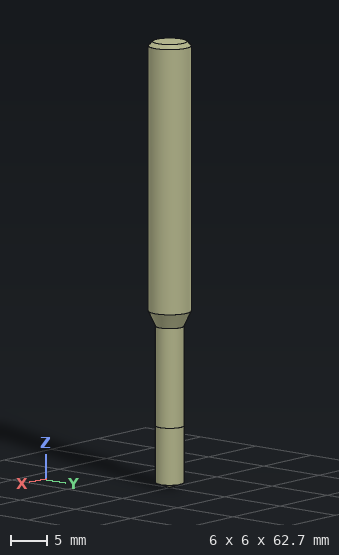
import cadquery as cq
import math

shank_diameter = 6.0
drill_diameter = 4.0
point_angle = 140.0
cutting_length = 8.0
neck_end = 22.0
taper_angle = 25.0
overall_length = 62.0
shank_chamfer = 0.6

shank_radius = shank_diameter / 2
drill_radius = drill_diameter / 2
point_height = drill_radius / math.tan(math.radians(point_angle / 2))
taper_height = (shank_radius - drill_radius) / math.tan(math.radians(taper_angle))
taper_end = neck_end + taper_height


def revolve_about_z(profile):
    """Revolve a closed (radius, height) profile, drawn in the -Y half of the YZ plane, around Z."""
    points = [(-radius, height) for radius, height in profile]
    return cq.Workplane("YZ").polyline(points).close().revolve(360, (0, 0), (0, 1))


def make_cutting_tip():
    """Cylindrical cutting section ending in a conical point."""
    return revolve_about_z([
        (0, -point_height),
        (drill_radius, 0),
        (drill_radius, cutting_length),
        (0, cutting_length),
    ])


def make_shank():
    """Neck, taper and chamfered clamping shank."""
    return revolve_about_z([
        (0, cutting_length),
        (drill_radius, cutting_length),
        (drill_radius, neck_end),
        (shank_radius, taper_end),
        (shank_radius, overall_length - shank_chamfer),
        (shank_radius - shank_chamfer, overall_length),
        (0, overall_length),
    ])


cutting_tip = make_cutting_tip()
shank = make_shank()

result = cq.Compound.makeCompound([cutting_tip.val(), shank.val()])